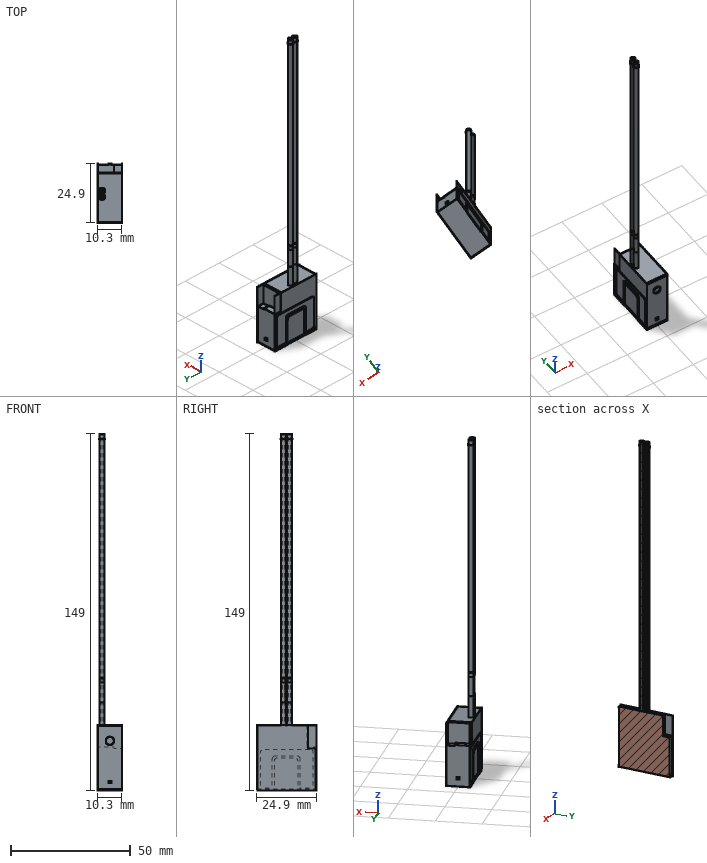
import cadquery as cq

width = 10.3
length = 24.9
total_height = 149.0
housing_height = 27.4

side_wall = 0.1
rear_inset = 0.5
edge_chamfer = 0.5
base_height = 0.7
base_inset = 0.07

rear_recess_y = 8.8
rear_floor_z = 18.2
rear_low_floor_z = 17.7
rear_step_x = 1.6

dimple_diameter = 3.5
dimple_z = 20.9
slot_width = 1.3
slot_height = 0.9
slot_z = 3.7
front_depth = 0.3

relief_depth = 0.1
rear_panel_depth = 0.07
rear_panel_y = 8.5
panel_length = 21.9
panel_top = 17.1
panel_bottom = 1.2
panel_radius = 0.9
arch_y = -0.3
arch_width = 9.8
arch_top = 13.7
arch_border = 0.9
arch_radius = 1.3

wire_x = -3.3
wire_pair_y = -0.1
wire_spacing = 2.5
wire_radius = 1.07
core_radius = 0.5
collar_radius = 1.25
collar_z = 146.9
collar_thickness = 0.1
neck_radius = 1.06
neck_bottom = 36.8
neck_top = 45.1
groove_z = 46.9
groove_height = 0.5

left = -width / 2
front = -length / 2
rear = length / 2
inner_width = width - 2 * side_wall


def box(x0, x1, y0, y1, z0, z1):
    """Box between two opposite corners."""
    return cq.Workplane("XY").box(x1 - x0, y1 - y0, z1 - z0, centered=False).translate((x0, y0, z0))


def make_upper_block():
    """Block above the base strip, with the relief in its -X side."""
    return box(left, -left, front, rear, base_height, housing_height).cut(side_relief())


def make_base():
    """Base strip set slightly back on the front and -X sides, with the slot of the relief continued in it."""
    base_left = left + base_inset
    half = arch_width / 2
    base = box(base_left, -left, front + base_inset, rear, 0, base_height)
    notch = box(base_left, base_left + relief_depth, arch_y - half, arch_y + half, 0, base_height)
    return base.cut(notch)


def edge_bevel(y, direction):
    """Triangular prism that bevels the top edge at the given Y between the side walls."""
    plane = cq.Workplane("YZ", origin=(-inner_width / 2, y, housing_height))
    corner = plane.polyline([(0, 0), (direction * edge_chamfer, 0), (0, -edge_chamfer)]).close()
    return corner.extrude(inner_width)


def rear_recess():
    """Open recess at the top rear, and the step behind the rear face."""
    half = inner_width / 2
    high_side = box(-half, rear_step_x, rear_recess_y, rear, rear_floor_z, housing_height)
    low_side = box(rear_step_x, half, rear_recess_y, rear, rear_low_floor_z, housing_height)
    rear_step = box(-half, half, rear - rear_inset, rear, 0, housing_height)
    return high_side.union(low_side).union(rear_step)


def rear_tab():
    """Small tab on the rear face, level with the front slot."""
    z0 = slot_z - slot_height / 2
    return box(-slot_width / 2, slot_width / 2, rear - rear_inset, rear, z0, z0 + slot_height)


def front_marks():
    """Round dimple and small slot in the front face."""
    plane = cq.Workplane("XZ", origin=(0, front, 0))
    dimple = plane.center(0, dimple_z).circle(dimple_diameter / 2).extrude(-front_depth)
    slot = plane.center(0, slot_z).rect(slot_width, slot_height).extrude(-front_depth)
    return dimple.union(slot)


def arch(border):
    """Round-cornered tongue on the -X side, widened by a border and reaching down to the base."""
    half = arch_width / 2 + border
    top = arch_top + border
    tongue = box(left, left + relief_depth, arch_y - half, arch_y + half, base_height, top)
    return tongue.edges("|X").edges(">Z").fillet(arch_radius)


def side_relief():
    """U-shaped panel, the slot between its legs and the rear panel, sunk into the -X side."""
    half = panel_length / 2
    panel = box(left, left + relief_depth, -half, half, panel_bottom, panel_top)
    panel = panel.cut(arch(arch_border)).edges("|X").edges("<Y or >Y").fillet(panel_radius)
    rear_panel = box(left, left + rear_panel_depth, rear_panel_y, rear, rear_floor_z, housing_height)
    return panel.union(arch(0)).union(rear_panel)


def make_housing():
    body = make_upper_block().union(make_base()).cut(rear_recess()).union(rear_tab())
    body = body.cut(edge_bevel(front, 1)).cut(edge_bevel(rear_recess_y, -1))
    return body.cut(front_marks())


def wire_cylinder(y, radius, z0, z1):
    """Upright cylinder on the axis of the wire at the given Y."""
    return cq.Workplane("XY", origin=(wire_x, y, z0)).circle(radius).extrude(z1 - z0)


def make_core(y):
    return wire_cylinder(y, core_radius, housing_height, total_height)


def make_insulation(y):
    """Sleeve with a necked length, a thin groove and a collar near its end."""
    groove_top = groove_z + groove_height
    sleeve = wire_cylinder(y, wire_radius, housing_height, neck_bottom)
    sleeve = sleeve.union(wire_cylinder(y, neck_radius, neck_bottom, neck_top))
    sleeve = sleeve.union(wire_cylinder(y, wire_radius, neck_top, groove_z))
    sleeve = sleeve.union(wire_cylinder(y, neck_radius, groove_z, groove_top))
    sleeve = sleeve.union(wire_cylinder(y, wire_radius, groove_top, total_height))
    sleeve = sleeve.union(wire_cylinder(y, collar_radius, collar_z, collar_z + collar_thickness))
    return sleeve.cut(make_core(y))


housing = make_housing()
insulations = []
cores = []
for side in (-1, 1):
    wire_y = wire_pair_y + side * wire_spacing / 2
    insulations.append(make_insulation(wire_y).val())
    cores.append(make_core(wire_y).val())

result = cq.Compound.makeCompound([housing.val(), *insulations, *cores])